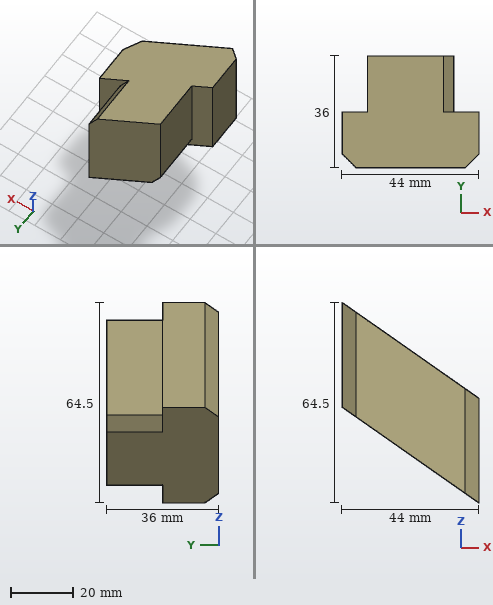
import cadquery as cq
import math

head_width = 44.0
stem_width = 27.75
total_height = 64.5
total_depth = 36.0
head_depth = 18.0
slope_angle = 35.0
head_chamfer = 4.45
stem_cut_x = 3.3
stem_cut_z = 3.3

slope = math.tan(math.radians(slope_angle))
side_height = total_height - head_width * slope
stem_depth = total_depth - head_depth
front_y = -total_depth / 2
shoulder_y = front_y + head_depth


def sloped_top(x):
    """Height of the sloping top face, which falls toward +X."""
    return side_height / 2 - x * slope


def sloped_bottom(x):
    """Height of the sloping bottom face, parallel to the top."""
    return sloped_top(x) - side_height


def extrude_along_y(points, start_y, depth):
    """Extrude an XZ outline toward +Y."""
    return cq.Workplane("XZ", origin=(0, start_y, 0)).polyline(points).close().extrude(-depth)


def make_head():
    half = head_width / 2
    outline = [
        (-half, sloped_bottom(-half)),
        (half, sloped_bottom(half)),
        (half, sloped_top(half)),
        (-half, sloped_top(-half)),
    ]
    block = extrude_along_y(outline, front_y, head_depth)
    bevel_outline = [
        (-half, shoulder_y),
        (-half, front_y + head_chamfer),
        (-half + head_chamfer, front_y),
        (half - head_chamfer, front_y),
        (half, front_y + head_chamfer),
        (half, shoulder_y),
    ]
    envelope = (
        cq.Workplane("XY", origin=(0, 0, -total_height / 2))
        .polyline(bevel_outline)
        .close()
        .extrude(total_height)
    )
    return block.intersect(envelope)


def make_stem():
    half = stem_width / 2
    cut_x = half - stem_cut_x
    outline = [
        (-half, sloped_top(-half)),
        (-half, sloped_bottom(-half) + stem_cut_z),
        (-cut_x, sloped_bottom(-cut_x)),
        (half, sloped_bottom(half)),
        (half, sloped_top(half) - stem_cut_z),
        (cut_x, sloped_top(cut_x)),
    ]
    return extrude_along_y(outline, shoulder_y, stem_depth)


result = make_head().union(make_stem())